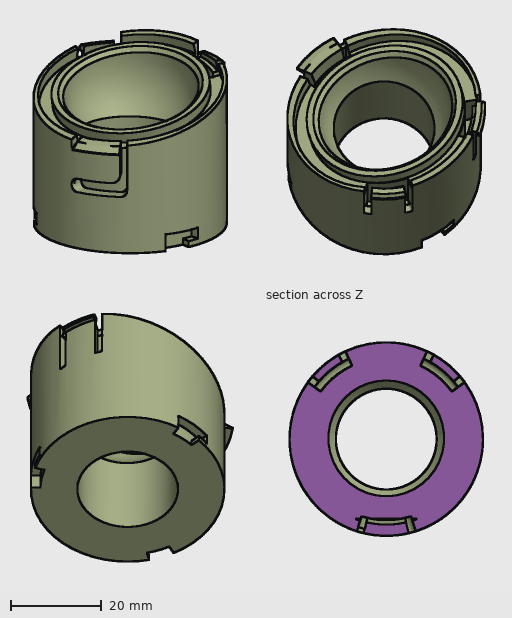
import math
import cadquery as cq

body_dia = 42.63
body_radius = body_dia / 2
total_height = 37.72
tilt_angle = 17.0
rim_mid_height = total_height - body_radius * math.tan(math.radians(tilt_angle))

seat_offset = 0.17
recess_dia = 40.9
recess_depth = 2.5
collar_dia = 35.0
mouth_chamfer = 1.0

mouth_radius = 15.0
cup_radius = math.hypot(mouth_radius, mouth_chamfer)
bore_dia = 22.15

pocket_radius = 17.85
hook_root = 1.0
overshoot = 5.0
outer_reach = body_radius + overshoot
slit_top = total_height + overshoot

front_angle = -90.0
front_pocket_half_angle = 17.7
front_tongue_half_angle = 13.5
front_slot_bottom = 13.05
front_slot_top = 16.15
front_corner_radius = 1.5
front_tongue_corner_radius = 2.0
front_web = 1.0
front_notch_bottom = 23.0
front_notch_radius = 0.5
front_gap_depth = 8.0
front_hook_reach = 2.0
front_hook_top = 24.75
front_hook_bottom = 23.4
front_hook_tip = 0.2

rear_spread = 39.5
rear_angles = (90.0 - rear_spread, 90.0 + rear_spread)
rear_pocket_half_angle = 14.5
rear_tongue_half_angle = 10.0
rear_tongue_radius = 19.5
rear_pocket_bottom = 22.6
rear_root_radius = 1.4
rear_slit_radius = 0.5
rear_tongue_top = 35.1
rear_hook_reach = 0.95
rear_hook_height = 1.5
rear_hook_chamfer = 0.75

bayonet_count = 3
bayonet_first_angle = 71.0
bayonet_entry_angle = 15.6
bayonet_full_angle = 23.1
bayonet_floor_radius = 19.2
bayonet_height = 3.9
bayonet_lip_height = 1.4


def seat_plane(depth):
    """Plane parallel to the slanted rim, a given depth below it."""
    tilt = math.radians(tilt_angle)
    rise = seat_offset * math.sin(tilt)
    run = seat_offset * math.cos(tilt)
    normal = cq.Vector(0, -math.sin(tilt), math.cos(tilt))
    origin = cq.Vector(0, run, rim_mid_height + rise) - normal * depth
    return cq.Plane(origin=origin, xDir=(1, 0, 0), normal=normal)


def turned_sector(profile, start_angle, end_angle):
    """Sweep an (r, z) profile about Z from start_angle to end_angle, in degrees."""
    sweep = end_angle - start_angle
    solid = cq.Workplane("XZ").polyline(profile).close().revolve(sweep, (0, 0), (0, 1))
    return solid.rotate((0, 0, 0), (0, 0, 1), start_angle)


def ring_sector(inner_radius, outer_radius, bottom, top, start_angle, end_angle):
    """Ring segment of rectangular section, centred on Z."""
    profile = [(inner_radius, bottom), (outer_radius, bottom), (outer_radius, top), (inner_radius, top)]
    return turned_sector(profile, start_angle, end_angle)


def make_body():
    return cq.Workplane("XY").circle(body_radius).extrude(total_height)


def make_above_rim():
    """Cutter for everything above the slanted rim."""
    return cq.Workplane(seat_plane(0)).circle(body_dia).extrude(total_height)


def make_recess(depth):
    """Cutter for the tilted round recess, open above the rim."""
    return cq.Workplane(seat_plane(depth)).circle(recess_dia / 2).extrude(depth + overshoot)


def make_collar():
    return cq.Workplane(seat_plane(recess_depth)).circle(collar_dia / 2).extrude(recess_depth)


def make_bore():
    """Straight hole, spherical cup and chamfered mouth."""
    hole = cq.Workplane("XY").circle(bore_dia / 2).extrude(rim_mid_height)
    cup = cq.Workplane("XY").sphere(cup_radius).translate(seat_plane(0).origin)
    mouth = (
        cq.Workplane(seat_plane(mouth_chamfer))
        .circle(mouth_radius)
        .workplane(offset=mouth_chamfer)
        .circle(mouth_radius + mouth_chamfer)
        .loft()
    )
    return hole.union(cup).union(mouth)


def round_radial_edge(solid, angle, height, radius):
    """Fillet the radial edge of a cutter that lies at the given angle and height."""
    edge_middle_radius = (pocket_radius + outer_reach) / 2
    edge_middle = (
        edge_middle_radius * math.cos(math.radians(angle)),
        edge_middle_radius * math.sin(math.radians(angle)),
        height,
    )
    return solid.edges(cq.selectors.NearestToPointSelector(edge_middle)).fillet(radius)


def make_slit(inner_radius, start_angle, end_angle, bottom, corner_radius):
    """Upright slit through the sleeve wall with rounded bottom corners, open at the top."""
    slit = ring_sector(inner_radius, outer_reach, bottom, slit_top, start_angle, end_angle)
    return slit.faces("<Z").edges("%LINE").fillet(corner_radius)


def make_front_cut():
    """L-shaped cut, short notch and tapered gap that free the front tongue."""
    pocket_start = front_angle - front_pocket_half_angle
    pocket_end = front_angle + front_pocket_half_angle
    tongue_start = front_angle - front_tongue_half_angle
    tongue_end = front_angle + front_tongue_half_angle

    slot = ring_sector(
        pocket_radius, outer_reach, front_slot_bottom, front_slot_top, pocket_start, pocket_end
    )
    slit = ring_sector(pocket_radius, outer_reach, front_slot_bottom, slit_top, tongue_end, pocket_end)
    l_cut = slot.union(slit)

    l_cut = round_radial_edge(l_cut, tongue_end, front_slot_top, front_tongue_corner_radius)
    l_cut = round_radial_edge(l_cut, pocket_start, front_slot_top, front_corner_radius)
    l_cut = l_cut.faces("<Z").edges("%LINE").fillet(front_corner_radius)

    slot_middle = (front_slot_bottom + front_slot_top) / 2
    hidden_slit = ring_sector(
        pocket_radius, body_radius - front_web, slot_middle, slit_top, pocket_start, tongue_start
    )
    notch = make_slit(pocket_radius, pocket_start, tongue_start, front_notch_bottom, front_notch_radius)
    behind_tongue = ring_sector(
        pocket_radius, body_radius, front_slot_top, slit_top, tongue_start, tongue_end
    )
    gap = behind_tongue.intersect(make_recess(front_gap_depth))
    return l_cut.union(hidden_slit).union(notch).union(gap)


def make_front_hook():
    """Wedge-shaped hook that continues the slanted rim outward."""
    root = body_radius - hook_root
    tip = body_radius + front_hook_reach
    profile = [
        (root, front_hook_bottom),
        (tip, front_hook_bottom),
        (tip, front_hook_bottom + front_hook_tip),
        (body_radius, front_hook_top),
        (root, front_hook_top),
    ]
    return turned_sector(
        profile, front_angle - front_tongue_half_angle, front_angle + front_tongue_half_angle
    )


def make_rear_cut(center_angle):
    """Two slits, the gap behind the tongue and the space above it."""
    pocket_start = center_angle - rear_pocket_half_angle
    pocket_end = center_angle + rear_pocket_half_angle
    tongue_start = center_angle - rear_tongue_half_angle
    tongue_end = center_angle + rear_tongue_half_angle

    slit_shape = (rear_pocket_bottom, rear_slit_radius)
    first_slit = make_slit(rear_tongue_radius, pocket_start, tongue_start, *slit_shape)
    second_slit = make_slit(rear_tongue_radius, tongue_end, pocket_end, *slit_shape)
    gap_bottom = rear_pocket_bottom - rear_root_radius
    gap = ring_sector(pocket_radius, rear_tongue_radius, gap_bottom, slit_top, pocket_start, pocket_end)
    root_edge = cq.selectors.RadiusNthSelector(-1)
    gap = gap.faces("<Z").edges("%CIRCLE").edges(root_edge).fillet(rear_root_radius)
    above = ring_sector(pocket_radius, outer_reach, rear_tongue_top, slit_top, tongue_start, tongue_end)
    return first_slit.union(second_slit).union(gap).union(above)


def make_rear_hook(center_angle):
    """Outward lip at the top of a rear tongue, with a chamfered upper edge."""
    root = body_radius - hook_root
    tip = body_radius + rear_hook_reach
    bottom = rear_tongue_top - rear_hook_height
    profile = [
        (root, bottom),
        (tip, bottom),
        (tip, rear_tongue_top - rear_hook_chamfer),
        (tip - rear_hook_chamfer, rear_tongue_top),
        (root, rear_tongue_top),
    ]
    return turned_sector(
        profile, center_angle - rear_tongue_half_angle, center_angle + rear_tongue_half_angle
    )


def make_bayonet_cut(start_angle):
    """Entry opening at the bottom edge with a locking run to one side above a lip."""
    entry_end = start_angle + bayonet_entry_angle
    run_end = start_angle + bayonet_full_angle
    entry = ring_sector(bayonet_floor_radius, outer_reach, 0, bayonet_height, start_angle, entry_end)
    run = ring_sector(
        bayonet_floor_radius, outer_reach, bayonet_lip_height, bayonet_height, start_angle, run_end
    )
    return entry.union(run)


result = make_body()
result = result.cut(make_front_cut()).union(make_front_hook())
for angle in rear_angles:
    result = result.cut(make_rear_cut(angle)).union(make_rear_hook(angle))
result = result.cut(make_above_rim())
result = result.cut(make_recess(recess_depth).cut(make_collar()))
for index in range(bayonet_count):
    result = result.cut(make_bayonet_cut(bayonet_first_angle + index * 360 / bayonet_count))
result = result.cut(make_bore())